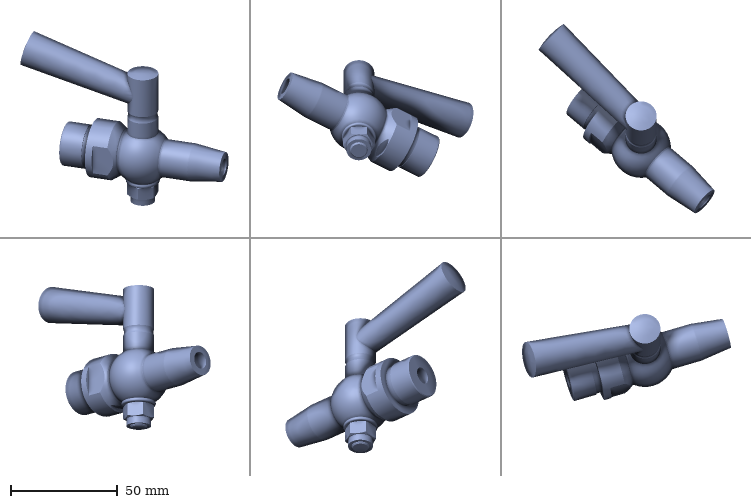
import cadquery as cq
import math


thread_start = -37.9
thread_end = -26.9
collar_start = -23.9
flat_start = -20.7
collar_end = -13.5
cone_end = -9.6
ball_start = -8.5
tail_start = 11.2
tail_end = 24.9
spout_end = 39.9

thread_dia = 21.0
thread_chamfer = 0.4
relief_dia = 20.0
collar_dia = 28.0
across_flats = 24.0
cone_end_radius = 11.3
neck_radius = 10.9
ball_radius = collar_dia / 2
tail_dia = 18.0
tail_blend_length = 0.6
tail_edge_fillet = 3.0
spout_end_dia = 14.1
bore_dia = 8.0

stem_dia = 14.5
neck_top = 20.2
waist_height = 3.4
waist_depth = 0.4
stem_top = 42.9
stem_dome = 0.9
plug_dia = 12.9
stud_dia = 8.4
stud_chamfer = 0.6
stud_bottom = -24.6
lever_tilt = 15
lever_axis_height = 31.9
lever_length = 58.7
lever_root_dia = 13.1
lever_end_dia = 17.0
lever_dome = 1.0

seat_z = -12.1
flange_dia = 16.0
flange_thickness = 1.7
flange_fillet = 0.7
nut_across_flats = 13.0
hex_height = 6.8
hex_bevel = 0.6
nut_collar_dia = 11.7
nut_bottom = -23.8


def cylinder_z(diameter, bottom, top):
    return cq.Workplane("XY").workplane(offset=bottom).circle(diameter / 2).extrude(top - bottom)


def make_housing():
    ball_start_radius = math.sqrt(ball_radius**2 - ball_start**2)
    ball_end = tail_start - tail_blend_length
    ball_end_radius = math.sqrt(ball_radius**2 - ball_end**2)
    thread_radius = thread_dia / 2
    turned = (
        cq.Workplane("XY")
        .moveTo(thread_start, 0)
        .lineTo(thread_start, thread_radius - thread_chamfer)
        .lineTo(thread_start + thread_chamfer, thread_radius)
        .lineTo(thread_end, thread_radius)
        .lineTo(thread_end, relief_dia / 2)
        .lineTo(collar_start, relief_dia / 2)
        .lineTo(collar_start, collar_dia / 2)
        .lineTo(collar_end, collar_dia / 2)
        .lineTo(cone_end, cone_end_radius)
        .threePointArc(((cone_end + ball_start) / 2, neck_radius), (ball_start, ball_start_radius))
        .threePointArc((0, ball_radius), (ball_end, ball_end_radius))
        .lineTo(tail_start, tail_dia / 2)
        .lineTo(tail_end, tail_dia / 2)
        .lineTo(spout_end, spout_end_dia / 2)
        .lineTo(spout_end, 0)
        .close()
        .revolve(360, (0, 0, 0), (1, 0, 0))
    )
    crease = cq.selectors.BoxSelector(
        (tail_end - 0.1, -tail_dia, -tail_dia), (tail_end + 0.1, tail_dia, tail_dia)
    )
    turned = turned.edges(crease).fillet(tail_edge_fillet)

    flat_length = ball_start - flat_start
    for side in (-1, 1):
        flat_cut = (
            cq.Workplane("XY")
            .box(flat_length, collar_dia, collar_dia, centered=(False, True, True))
            .translate((flat_start, side * (across_flats + collar_dia) / 2, 0))
        )
        turned = turned.cut(flat_cut)

    below_seat = cylinder_z(collar_dia, -ball_radius, seat_z)
    turned = turned.cut(below_seat)

    flow_bore = (
        cq.Workplane("YZ").workplane(offset=thread_start)
        .circle(bore_dia / 2).extrude(spout_end - thread_start)
    )
    return (
        turned.union(cylinder_z(stem_dia, 0, neck_top))
        .cut(flow_bore)
        .cut(cylinder_z(plug_dia, seat_z, neck_top))
    )


def make_plug():
    stem_radius = stem_dia / 2
    waist_top = neck_top + waist_height
    stem = (
        cq.Workplane("XZ")
        .moveTo(0, neck_top)
        .lineTo(stem_radius, neck_top)
        .threePointArc(
            (stem_radius - waist_depth, neck_top + waist_height / 2), (stem_radius, waist_top)
        )
        .lineTo(stem_radius, stem_top)
        .radiusArc((0, stem_top + stem_dome), -(stem_radius**2 + stem_dome**2) / (2 * stem_dome))
        .close()
        .revolve(360, (0, 0, 0), (0, 1, 0))
    )
    plug = cylinder_z(plug_dia, seat_z, neck_top)
    stud = cylinder_z(stud_dia, stud_bottom, seat_z).faces("<Z").chamfer(stud_chamfer)
    return stem.union(plug).union(stud).union(make_lever())


def make_lever():
    end_radius = lever_end_dia / 2
    dome_radius = (end_radius**2 + lever_dome**2) / (2 * lever_dome)
    return (
        cq.Workplane("XZ")
        .lineTo(0, lever_root_dia / 2)
        .lineTo(-lever_length, end_radius)
        .radiusArc((-lever_length - lever_dome, 0), -dome_radius)
        .close()
        .revolve(360, (0, 0, 0), (1, 0, 0))
        .rotate((0, 0, 0), (0, 1, 0), lever_tilt)
        .translate((0, 0, lever_axis_height))
    )


def make_nut():
    hex_top = seat_z - flange_thickness
    hex_bottom = hex_top - hex_height
    corner_dia = nut_across_flats / math.cos(math.radians(30))

    hexagon = (
        cq.Workplane("XY").workplane(offset=hex_bottom)
        .polygon(6, corner_dia).extrude(hex_height)
        .rotate((0, 0, 0), (0, 0, 1), 30)
    )
    bevel = cylinder_z(corner_dia, hex_bottom, hex_top).faces("<Z or >Z").chamfer(hex_bevel, 2 * hex_bevel)
    hexagon = hexagon.intersect(bevel)

    flange = cylinder_z(flange_dia, hex_top, seat_z).edges().fillet(flange_fillet)
    collar = cylinder_z(nut_collar_dia, nut_bottom, hex_bottom)
    stud_hole = cylinder_z(stud_dia, nut_bottom, seat_z)
    return hexagon.union(flange).union(collar).cut(stud_hole)


housing = make_housing()
plug = make_plug()
nut = make_nut()

result = cq.Compound.makeCompound([housing.val(), plug.val(), nut.val()])